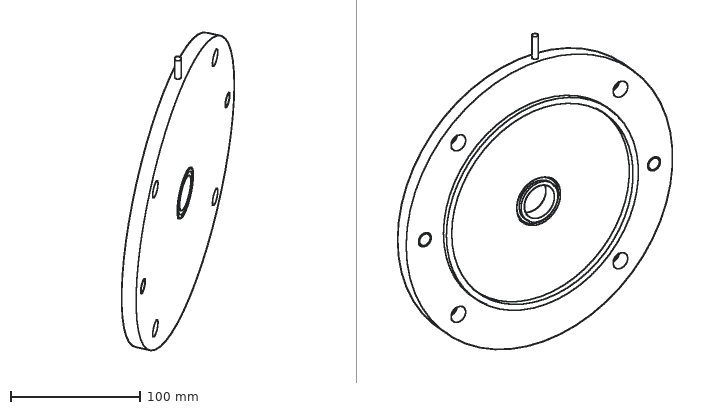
import cadquery as cq
import math

flange_diameter = 250.0
flange_thickness = 12.0
rim_height = 4.0
overall_height = 270.0
back_x = rim_height + flange_thickness

rim_outer_diameter = 180.0
rim_inner_diameter = 170.0
recess_depth = 5.0

bolt_circle_radius = 107.5
bolt_hole_diameter = 13.5
bolt_angles = [45, 135, 225, 315]
bushing_angles = [0, 180]
bushing_outer_diameter = 12.0
bushing_bore_diameter = 10.0

center_hole_diameter = 41.0
outer_sleeve_diameter = 39.1
sleeve_joint_diameter = 34.5
sleeve_bore_diameter = 28.0
inner_sleeve_front_x = 4.0
outer_sleeve_front_x = 6.5

pin_diameter = 5.0
pin_x = rim_height + flange_thickness / 2
pin_seat_depth = 2.7


def cylinder(diameter, start_x, end_x, y=0.0, z=0.0):
    """Solid cylinder along X between two X positions."""
    return (
        cq.Workplane("YZ", origin=(start_x, y, z))
        .circle(diameter / 2)
        .extrude(end_x - start_x)
    )


def tube(outer_diameter, inner_diameter, start_x, end_x, y=0.0, z=0.0):
    """Hollow cylinder along X between two X positions."""
    outside = cylinder(outer_diameter, start_x, end_x, y, z)
    return outside.cut(cylinder(inner_diameter, start_x, end_x, y, z))


def on_bolt_circle(angle):
    """Y and Z of a point on the bolt circle."""
    radians = math.radians(angle)
    return bolt_circle_radius * math.cos(radians), bolt_circle_radius * math.sin(radians)


def make_pin():
    """Radial pin seated in a blind hole of the flange."""
    bottom_z = flange_diameter / 2 - pin_seat_depth
    return (
        cq.Workplane("XY", origin=(pin_x, 0, bottom_z))
        .circle(pin_diameter / 2)
        .extrude(overall_height - flange_diameter / 2 - bottom_z)
    )


def make_housing():
    """Flanged disc with its rim, front recess, holes and pin seat."""
    body = cylinder(flange_diameter, rim_height, back_x)
    body = body.union(cylinder(rim_outer_diameter, 0, rim_height))
    body = body.cut(cylinder(rim_inner_diameter, 0, recess_depth))
    body = body.cut(cylinder(center_hole_diameter, 0, back_x))
    for angle in bolt_angles:
        body = body.cut(cylinder(bolt_hole_diameter, 0, back_x, *on_bolt_circle(angle)))
    for angle in bushing_angles:
        body = body.cut(cylinder(bushing_outer_diameter, 0, back_x, *on_bolt_circle(angle)))
    return body.cut(make_pin())


def make_bushing(angle):
    """Bushing flush with both faces of the flange."""
    return tube(
        bushing_outer_diameter, bushing_bore_diameter, rim_height, back_x, *on_bolt_circle(angle)
    )


housing = make_housing()
outer_sleeve = tube(outer_sleeve_diameter, sleeve_joint_diameter, outer_sleeve_front_x, back_x)
inner_sleeve = tube(sleeve_joint_diameter, sleeve_bore_diameter, inner_sleeve_front_x, back_x)
pin = make_pin()
bushings = [make_bushing(angle) for angle in bushing_angles]

result = cq.Compound.makeCompound(
    [
        housing.val(),
        outer_sleeve.val(),
        inner_sleeve.val(),
        pin.val(),
        *[bushing.val() for bushing in bushings],
    ]
)